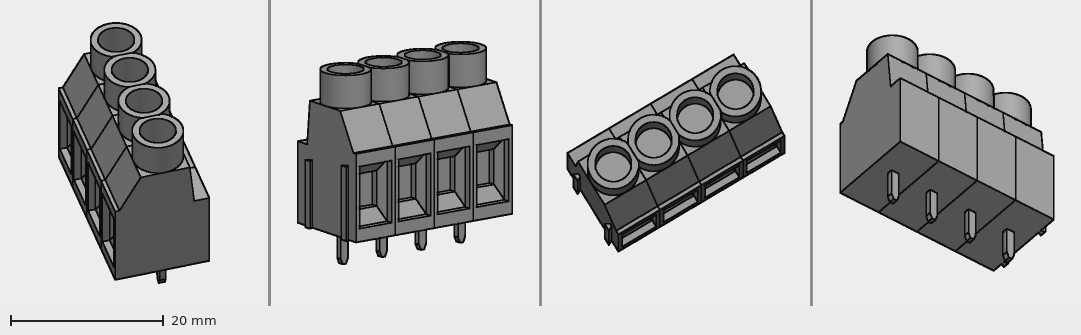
import cadquery as cq


POLE_COUNT = 4
ROW_LENGTH = 25.38
PITCH = ROW_LENGTH / POLE_COUNT
TOTAL_HEIGHT = 26.3

PIN_LENGTH = 4.8
PIN_WIDTH = 1.18
PIN_THICKNESS = 0.85
PIN_Y = 7.29
PIN_TIP_WIDTH = 0.53
PIN_TIP_LENGTH = 0.8

DEPTH = 12.9
FRONT_SHOULDER_DEPTH = 0.58
FRONT_SHOULDER_Z = 11.97
REAR_SLOPE_Y = 10.8
REAR_SHOULDER_Z = 11.02
DECK_FRONT_Y = 3.5
DECK_Z = 17.05

TUBE_DIAMETER = 6.7
TUBE_RADIUS = TUBE_DIAMETER / 2
TUBE_BORE = 4.75
TUBE_HEIGHT = TOTAL_HEIGHT - PIN_LENGTH - DECK_Z
TUBE_Y = DECK_FRONT_Y + TUBE_RADIUS
DECK_REAR_Y = DECK_FRONT_Y + TUBE_DIAMETER

MOUTH_WIDTH = 5.2
MOUTH_BOTTOM_Z = 1.8
MOUTH_TOP_Z = 10.18
THROAT_WIDTH = 3.31
THROAT_BOTTOM_Z = 3.8
THROAT_TOP_Z = 8.57
ENTRY_STEP = 1.0

RIB_PROJECTION = 0.6
RIB_WIDTH = 1.08
RIB_NECK_WIDTH = 0.45
FRONT_RIB_Y = 1.92
FRONT_RIB_HEIGHT = 10.0
REAR_RIB_Y = 9.84
REAR_RIB_HEIGHT = 9.13


def pole_center(index):
    return (index + 0.5) * PITCH


def tube_center(index):
    """X of a screw tube; the end tubes shift inward to stay within the row."""
    return min(max(pole_center(index), TUBE_RADIUS), ROW_LENGTH - TUBE_RADIUS)


def make_block(index):
    profile = [
        (0, 0),
        (DEPTH, 0),
        (DEPTH, REAR_SHOULDER_Z),
        (REAR_SLOPE_Y, REAR_SHOULDER_Z),
        (DECK_REAR_Y, DECK_Z),
        (DECK_FRONT_Y, DECK_Z),
        (FRONT_SHOULDER_DEPTH, FRONT_SHOULDER_Z),
        (0, FRONT_SHOULDER_Z),
    ]
    return cq.Workplane("YZ", origin=(index * PITCH, 0, 0)).polyline(profile).close().extrude(PITCH)


def make_tube(index):
    """Blind-bored screw tube, cut flat where it meets the neighbouring pole."""
    tube = (
        cq.Workplane("XY", origin=(tube_center(index), TUBE_Y, DECK_Z))
        .circle(TUBE_RADIUS)
        .circle(TUBE_BORE / 2)
        .extrude(TUBE_HEIGHT)
    )
    pole_space = cq.Workplane("XY", origin=(pole_center(index), TUBE_Y, DECK_Z)).box(
        PITCH, TUBE_DIAMETER, TUBE_HEIGHT, centered=(True, True, False)
    )
    return tube.intersect(pole_space)


def entry_section(index, y, width, bottom_z, top_z):
    """Rectangle across the wire entry at depth y, on a plane facing the rear."""
    center = (pole_center(index), y, (bottom_z + top_z) / 2)
    plane = cq.Plane(origin=center, xDir=(1, 0, 0), normal=(0, 1, 0))
    return cq.Workplane(plane).rect(width, top_z - bottom_z)


def make_wire_entry(index):
    mouth_size = (MOUTH_WIDTH, MOUTH_BOTTOM_Z, MOUTH_TOP_Z)
    throat_size = (THROAT_WIDTH, THROAT_BOTTOM_Z, THROAT_TOP_Z)
    funnel_y = ENTRY_STEP
    throat_y = 2 * ENTRY_STEP

    mouth = entry_section(index, 0, *mouth_size).extrude(ENTRY_STEP)
    throat = entry_section(index, throat_y, *throat_size).extrude(ENTRY_STEP)
    funnel_ends = [
        entry_section(index, funnel_y, *mouth_size).wire().val(),
        entry_section(index, throat_y, *throat_size).wire().val(),
    ]
    funnel = cq.Workplane(cq.Solid.makeLoft(funnel_ends, True))
    return mouth.union(funnel).union(throat)


def make_rib(y, height):
    """Dovetail rib, narrow at the end face and widening outward."""
    section = [
        (0, y - RIB_NECK_WIDTH / 2),
        (-RIB_PROJECTION, y - RIB_WIDTH / 2),
        (-RIB_PROJECTION, y + RIB_WIDTH / 2),
        (0, y + RIB_NECK_WIDTH / 2),
    ]
    return cq.Workplane("XY").polyline(section).close().extrude(height)


def make_housing(index):
    housing = make_block(index).union(make_tube(index)).cut(make_wire_entry(index))
    if index == 0:
        housing = housing.union(make_rib(FRONT_RIB_Y, FRONT_RIB_HEIGHT))
        housing = housing.union(make_rib(REAR_RIB_Y, REAR_RIB_HEIGHT))
    return housing


def make_pin(index):
    """Flat pin with its top against the housing underside and a tapered tip."""
    taper_z = PIN_TIP_LENGTH - PIN_LENGTH
    outline = [
        (-PIN_WIDTH / 2, 0),
        (-PIN_WIDTH / 2, taper_z),
        (-PIN_TIP_WIDTH / 2, -PIN_LENGTH),
        (PIN_TIP_WIDTH / 2, -PIN_LENGTH),
        (PIN_WIDTH / 2, taper_z),
        (PIN_WIDTH / 2, 0),
    ]
    return (
        cq.Workplane("XZ", origin=(pole_center(index), PIN_Y, 0))
        .polyline(outline)
        .close()
        .extrude(PIN_THICKNESS / 2, both=True)
    )


housings = [make_housing(index).solids().val() for index in range(POLE_COUNT)]
pins = [make_pin(index).solids().val() for index in range(POLE_COUNT)]

result = cq.Compound.makeCompound([*housings, *pins])